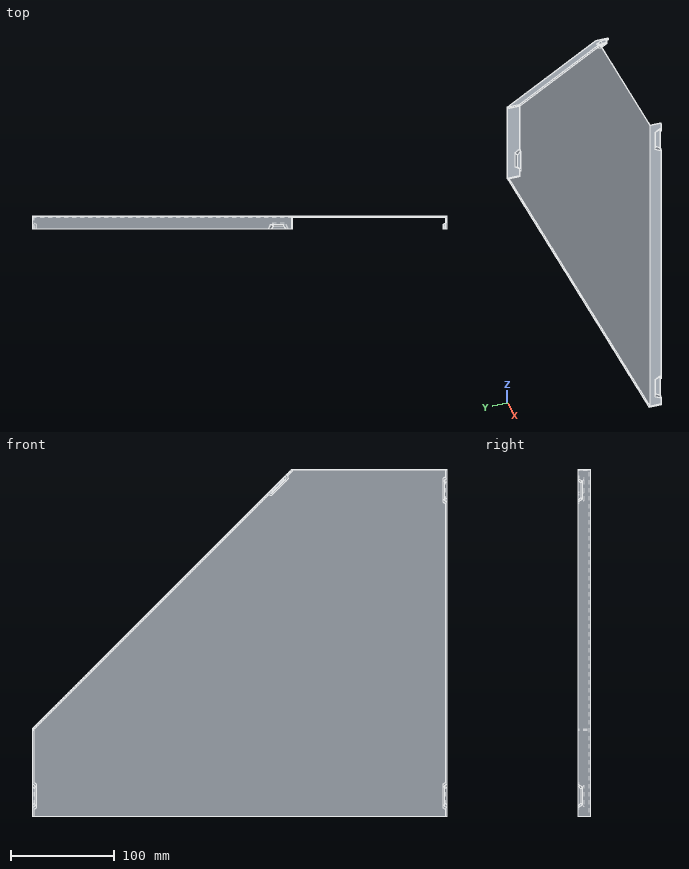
import cadquery as cq
import math

width = 400.0
height = 334.71
flange_depth = 12.5
thickness = 1.5
corner_cut = 250.0
shoulder_gap = 1.5

dimple_mouth_length = 26.0
dimple_root_length = 20.0
dimple_reach = 6.0
dimple_offset = 2.5
dimple_wall_draft = 1.5
dimple_end_distance = 20.0

left_x = -width / 2
right_x = width / 2
bottom_z = -height / 2
top_z = height / 2

bottom_left = (left_x, bottom_z)
bottom_right = (right_x, bottom_z)
top_right = (right_x, top_z)
slope_top = (left_x + corner_cut, top_z)
shoulder = (left_x, top_z - corner_cut)


def length_between(start, end):
    return math.hypot(end[0] - start[0], end[1] - start[1])


def section_plane(start, end, distance=0.0):
    """Plane across a folded edge: X points into the panel, Y is the fold direction (-Y of the part)."""
    length = length_between(start, end)
    along_x = (end[0] - start[0]) / length
    along_z = (end[1] - start[1]) / length
    origin = (start[0] + along_x * distance, 0, start[1] + along_z * distance)
    return cq.Plane(origin=origin, xDir=(-along_z, 0, along_x), normal=(along_x, 0, along_z))


def make_sheet():
    outline = [bottom_left, bottom_right, top_right, slope_top, shoulder]
    return cq.Workplane("XZ").polyline(outline).close().extrude(thickness)


def make_flange(start, end, start_setback=0.0):
    length = length_between(start, end) - start_setback
    section = cq.Workplane(section_plane(start, end, start_setback))
    return section.rect(thickness, flange_depth, centered=False).extrude(length)


def dimple_block(start, end, distance, base, shrink):
    """Tapered block rising into the panel from depth `base` inside the flange's outer face.

    Its footprint is a trapezoid, widest at the free edge; `shrink` makes it smaller all round.
    """
    across = section_plane(start, end, distance)
    base_plane = cq.Plane(
        origin=across.toWorldCoords((base, flange_depth, 0)),
        xDir=across.zDir,
        normal=across.xDir,
    )

    def footprint(inset):
        half_mouth = dimple_mouth_length / 2 - inset
        half_root = dimple_root_length / 2 - inset
        reach = dimple_reach - inset
        return [(-half_mouth, 0), (half_mouth, 0), (half_root, reach), (-half_root, reach)]

    return (
        cq.Workplane(base_plane)
        .polyline(footprint(shrink)).close()
        .workplane(offset=dimple_offset)
        .polyline(footprint(shrink + dimple_wall_draft)).close()
        .loft(ruled=True)
    )


def add_dimple(body, start, end, distance):
    outer = dimple_block(start, end, distance, thickness, 0)
    hollow = dimple_block(start, end, distance, 0, thickness)
    return body.union(outer).cut(hollow)


left_flange = (shoulder, bottom_left)
sloped_flange = (slope_top, shoulder)
right_flange = (bottom_right, top_right)

result = make_sheet()
result = result.union(make_flange(*left_flange, shoulder_gap))
result = result.union(make_flange(*sloped_flange))
result = result.union(make_flange(*right_flange))

left_dimple = length_between(*left_flange) - dimple_end_distance
upper_right_dimple = height - dimple_end_distance
result = add_dimple(result, *left_flange, left_dimple)
result = add_dimple(result, *sloped_flange, dimple_end_distance)
result = add_dimple(result, *right_flange, dimple_end_distance)
result = add_dimple(result, *right_flange, upper_right_dimple)